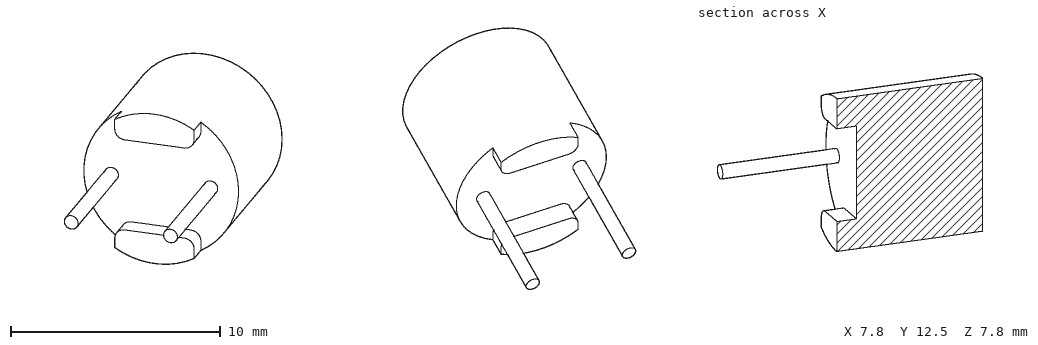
import cadquery as cq

body_diameter = 7.8
body_length = 6.5
total_length = 12.5

foot_width = 4.0
foot_height = 1.0
foot_inner_offset = 2.35
foot_corner_radius = 0.5

pin_diameter = 0.7
pin_spacing = 5.0
pin_length = total_length - body_length

body_radius = body_diameter / 2


def cylinder_along_y(diameter, start, end):
    """Cylinder on the Y axis between two Y positions."""
    return cq.Workplane("XZ", origin=(0, start, 0)).circle(diameter / 2).extrude(start - end)


def make_foot(side):
    """Foot above (side = 1) or below (side = -1) the axis, trimmed to the body's round side."""
    block_depth = body_radius - foot_inner_offset
    block_center = side * (body_radius + foot_inner_offset) / 2
    inner_edges = "|Y and <Z" if side > 0 else "|Y and >Z"
    block = (
        cq.Workplane("XZ", origin=(0, 0, block_center))
        .rect(foot_width, block_depth)
        .extrude(foot_height)
        .edges(inner_edges)
        .fillet(foot_corner_radius)
    )
    return block.intersect(cylinder_along_y(body_diameter, -foot_height, 0))


result = cylinder_along_y(body_diameter, 0, body_length)

for side in (-1, 1):
    pin = cylinder_along_y(pin_diameter, -pin_length, 0)
    result = result.union(pin.translate((side * pin_spacing / 2, 0, 0)))
    result = result.union(make_foot(side))